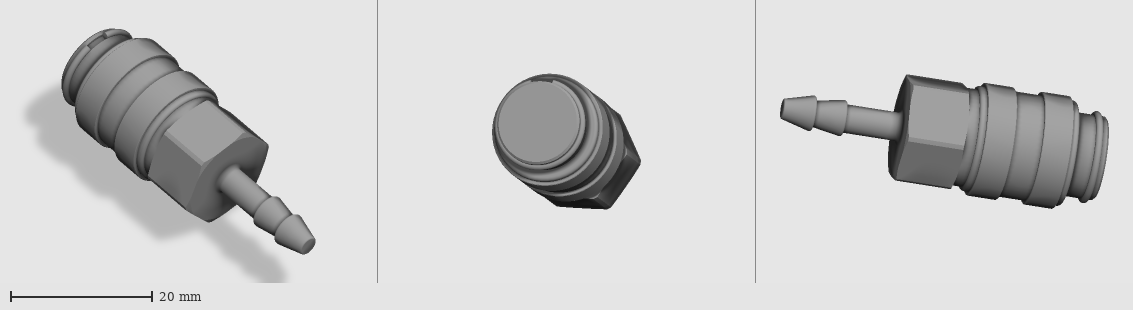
import cadquery as cq
import math

LENGTH = 46.15

BARREL_D = 12.0
BARREL_CHAMFER = 0.3
GROOVE_D = 11.15
GROOVE_WIDTH = 1.05
WIRE_D = 1.0
WIRE_X = 1.45
GAP_ANGLE = 30.0
GAP_TURN = 3.0

SLEEVE_D = 15.1
SLEEVE_START = 4.6
SLEEVE_END = 19.05
SLEEVE_FILLET = 0.45
BAND_D = 16.15
BAND_CHAMFER = 0.1
FRONT_BAND_START = 5.65
FRONT_BAND_END = 9.8
REAR_BAND_START = 13.85
REAR_BAND_END = 18.05

NECK_D = 14.0
HEX_START = 20.6
HEX_END = 29.1
HEX_FLATS = 14.0
HEX_CORNER_D = 15.8
HEX_TURN = 5.8
HEX_CHAMFER_LENGTH = 0.255
HEX_CHAMFER_DEPTH = 0.8

STEM_D = 4.05
STEM_FILLET = 0.55
BARB_D = 5.3
FRONT_BARB_X = 37.15
FRONT_BARB_END_D = 3.8
BARB_FILLET = 0.3
TIP_BARB_X = 41.6
TIP_BARB_END_D = 2.85
TIP_FILLET = 0.25


def rod(start, end, diameter):
    """Cylinder on the X axis between two stations."""
    return cq.Workplane("YZ", origin=(start, 0, 0)).circle(diameter / 2).extrude(end - start)


def make_barrel():
    """Solid barrel with a chamfered front edge and the snap ring groove."""
    groove_start = WIRE_X - GROOVE_WIDTH / 2
    groove_end = WIRE_X + GROOVE_WIDTH / 2
    groove = rod(groove_start, groove_end, BARREL_D).cut(rod(groove_start, groove_end, GROOVE_D))
    barrel = rod(0, SLEEVE_START, BARREL_D).faces("<X").chamfer(BARREL_CHAMFER)
    return barrel.cut(groove)


def make_band(start, end):
    """Raised grip band; both end edges are chamfered."""
    return rod(start, end, BAND_D).edges("%CIRCLE").chamfer(BAND_CHAMFER)


def make_sleeve():
    """Round-edged sleeve that carries both grip bands."""
    sleeve = rod(SLEEVE_START, SLEEVE_END, SLEEVE_D).edges("%CIRCLE").fillet(SLEEVE_FILLET)
    sleeve = sleeve.union(make_band(FRONT_BAND_START, FRONT_BAND_END))
    return sleeve.union(make_band(REAR_BAND_START, REAR_BAND_END))


def make_hexagon():
    """Hexagon whose corners are trimmed by a round with conical ends."""
    length = HEX_END - HEX_START
    across_corners = HEX_FLATS / math.cos(math.pi / 6)
    prism = cq.Workplane("YZ").polygon(6, across_corners).extrude(length)
    prism = prism.rotate((0, 0, 0), (1, 0, 0), HEX_TURN).translate((HEX_START, 0, 0))
    radius = HEX_CORNER_D / 2
    trim_profile = [
        (HEX_START, 0),
        (HEX_START, radius - HEX_CHAMFER_DEPTH),
        (HEX_START + HEX_CHAMFER_LENGTH, radius),
        (HEX_END - HEX_CHAMFER_LENGTH, radius),
        (HEX_END, radius - HEX_CHAMFER_DEPTH),
        (HEX_END, 0),
    ]
    trim = cq.Workplane("XY").polyline(trim_profile).close().revolve(360, (0, 0), (1, 0))
    return prism.intersect(trim)


def make_barb(start, end, end_diameter):
    """Cone that narrows towards the tip, with a rounded rear edge."""
    profile = [(start, 0), (start, BARB_D / 2), (end, end_diameter / 2), (end, 0)]
    cone = cq.Workplane("XY").polyline(profile).close().revolve(360, (0, 0), (1, 0))
    return cone.faces("<X").edges().fillet(BARB_FILLET)


def make_stem_flare():
    """Concave round where the stem leaves the hexagon."""
    stem_radius = STEM_D / 2
    arc_centre = (HEX_END + STEM_FILLET, stem_radius + STEM_FILLET)
    arc_reach = STEM_FILLET * math.sqrt(0.5)
    arc_middle = (arc_centre[0] - arc_reach, arc_centre[1] - arc_reach)
    profile = (
        cq.Workplane("XY")
        .moveTo(HEX_END, 0)
        .lineTo(HEX_END, stem_radius + STEM_FILLET)
        .threePointArc(arc_middle, (HEX_END + STEM_FILLET, stem_radius))
        .lineTo(HEX_END + STEM_FILLET, 0)
        .close()
    )
    return profile.revolve(360, (0, 0), (1, 0))


def make_hose_stem():
    """Stem with two barbs and a rounded tip."""
    stem = rod(HEX_END, FRONT_BARB_X, STEM_D).union(make_stem_flare())
    stem = stem.union(make_barb(FRONT_BARB_X, TIP_BARB_X, FRONT_BARB_END_D))
    tip = make_barb(TIP_BARB_X, LENGTH, TIP_BARB_END_D)
    return stem.union(tip.faces(">X").edges().fillet(TIP_FILLET))


def make_coupling():
    """Barrel, sleeve, neck, hexagon and hose stem in one piece."""
    coupling = make_barrel().union(make_sleeve())
    coupling = coupling.union(rod(SLEEVE_END, HEX_START, NECK_D))
    return coupling.union(make_hexagon()).union(make_hose_stem())


def make_snap_ring():
    """Open ring of round wire lying on the groove floor."""
    wire_centre = (GROOVE_D + WIRE_D) / 2
    ring = (
        cq.Workplane("XZ")
        .center(WIRE_X, wire_centre)
        .circle(WIRE_D / 2)
        .revolve(360 - GAP_ANGLE, (0, -wire_centre), (1, -wire_centre))
    )
    return ring.rotate((0, 0, 0), (1, 0, 0), GAP_TURN + GAP_ANGLE / 2)


coupling = make_coupling()
snap_ring = make_snap_ring()

result = cq.Compound.makeCompound([coupling.solids().val(), snap_ring.val()])